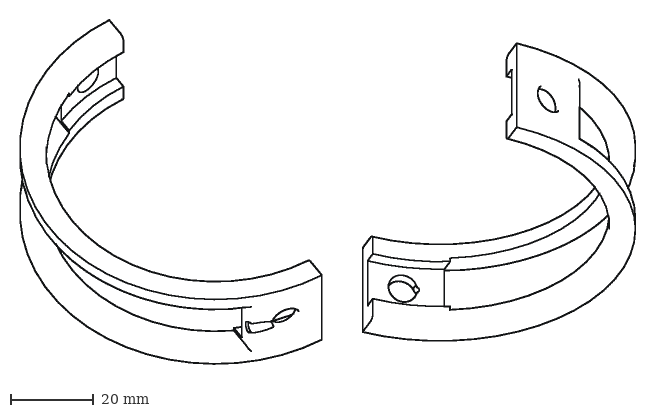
import cadquery as cq
import math

outer_radius = 47.45
wall = 6.4
inner_radius = outer_radius - wall
height = 24.8
edge_round = 1.4

seam_at_back = cq.Plane(origin=(0, 0, 0), xDir=(0, 1, 0), normal=(0, 0, 1))

groove_radius = 44.3
groove_height = 13.2

window_height = 15.2
window_end_y = -18.5

hole_y = -9.5
hole_half_width = 3.5
hole_half_height = 3.9
hole_edge_round = 0.6
left_hole_z = -0.4
right_hole_z = 0.3

passage_x = 44.2
passage_radius = 1.8
passage_chamfer = 0.5


def box_in_front_of(y_back, box_height):
    """Box wider than the ring, reaching forward from y_back."""
    reach = 2 * outer_radius
    return (
        cq.Workplane("XY")
        .box(2 * reach, reach, box_height, centered=(True, False, True))
        .translate((0, y_back - reach, 0))
    )


def outer_surface_edges(edges):
    """Edges whose start, middle and end all lie on the outer cylinder."""
    def on_outer(point):
        return abs(math.hypot(point.x, point.y) - outer_radius) < 0.01

    return [
        edge for edge in edges.vals()
        if all(on_outer(edge.positionAt(t)) for t in (0, 0.5, 1))
    ]


def make_half_ring():
    ring = cq.Workplane(seam_at_back).circle(outer_radius).circle(inner_radius)
    ring = ring.extrude(height / 2, both=True)
    half_ring = ring.intersect(box_in_front_of(0, height))
    inner_rims = [
        edge for edge in half_ring.edges("%CIRCLE").vals()
        if edge.radius() < outer_radius - wall / 2
    ]
    return half_ring.newObject(inner_rims).fillet(edge_round)


def cut_window(body):
    window = box_in_front_of(window_end_y, window_height)
    body = body.cut(window)
    margin = 0.95
    outer_edge_zone = cq.selectors.BoxSelector(
        (-outer_radius, -outer_radius - margin, -window_height / 2 - margin),
        (outer_radius, window_end_y + margin, window_height / 2 + margin),
        boundingbox=False,
    )
    mouth = outer_surface_edges(body.edges(outer_edge_zone))
    return body.newObject(mouth).fillet(edge_round)


def cut_groove(body):
    groove = cq.Workplane(seam_at_back).circle(groove_radius).extrude(groove_height / 2, both=True)
    return body.cut(groove)


def cut_side_hole(body, side, z):
    x = side * math.sqrt(outer_radius**2 - hole_y**2)
    outward = (x, hole_y, 0)
    plane = cq.Plane(origin=(0, 0, z), xDir=(-hole_y, x, 0), normal=outward)
    hole = (
        cq.Workplane(plane)
        .ellipse(hole_half_width, hole_half_height)
        .extrude(1.2 * outer_radius)
    )
    body = body.cut(hole)
    mouth = [
        edge for edge in outer_surface_edges(body.edges())
        if (edge.Center() - cq.Vector(x, hole_y, z)).Length < hole_half_height
    ]
    return body.newObject(mouth).fillet(hole_edge_round)


def cut_passage(body):
    end_face = cq.Plane(
        origin=(passage_x, window_end_y, right_hole_z), xDir=(1, 0, 0), normal=(0, 1, 0)
    )
    bore = cq.Workplane(end_face).circle(passage_radius).extrude(hole_y - window_end_y)
    countersink = (
        cq.Workplane(end_face)
        .circle(passage_radius + passage_chamfer)
        .workplane(offset=passage_chamfer)
        .circle(passage_radius)
        .loft()
    )
    return body.cut(bore).cut(countersink)


result = make_half_ring()
result = cut_window(result)
result = cut_groove(result)
result = cut_side_hole(result, -1, left_hole_z)
result = cut_side_hole(result, 1, right_hole_z)
result = cut_passage(result)